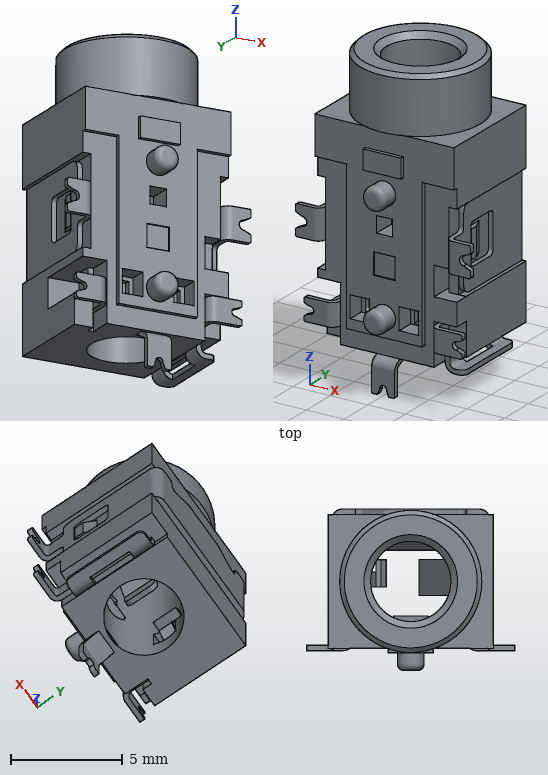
import cadquery as cq


total_height = 15.8
body_width = 7.43
body_bottom = 1.82
body_top = 12.83
body_front = -3.0
body_back = 3.0
flank_front = -2.76
panel_half_width = 2.0
panel_bottom = 2.78
panel_top = 10.78
sleeve_radius = 3.19
sleeve_chamfer = 0.2
bore_radius = 1.8
bore_chamfer = 0.3

rib_half_width = 1.01
rib_height = 1.03
rib_rise = 0.2
peg_radius = 0.6
peg_round = 0.28
peg_end = -4.0
peg_heights = (3.79, 9.8)
sight_width = 0.85
sight_bottom = 7.77
mark_width = 1.14
mark_bottom = 5.69
mark_depth = 0.08
pocket_inner = 0.79
pocket_outer = 1.83
pocket_bottom = 3.3
pocket_top = 4.47
pocket_depth = 0.95
pocket_core_inner = 1.0
pocket_core_outer = 1.63
pocket_core_bottom = 3.38
pocket_core_top = 4.28
pocket_core_depth = 1.26
pocket_core_round = 0.13

sheet = 0.25
foot_front = -3.11
foot_back = foot_front + sheet
prong_round = 0.1
notch_taper = 0.6

shield_bottom = 5.3
shield_top = 9.73
shield_gap = 0.03
shield_middle = (shield_bottom + shield_top) / 2
shield_inner_x = 3.3
shield_outer_x = shield_inner_x + sheet
shield_back = body_back + sheet
shield_corner = 0.49
shield_foot_tip = 4.68
shield_foot_bend = 0.43
shield_plate_front = -1.95
shield_plate_round = 0.46
tab_half_height = 0.8
tab_root_round = 0.24
tab_notch_depth = 0.6
tab_notch_half = 0.41
window_back = 0.5
window_front = -1.36
window_height = 2.2
window_round = 0.25
tooth_ramp_back = -0.28
tooth_ramp_front = -0.87
tooth_front = -1.31
tooth_height = 1.52
edge_notch_outer = 2.48
edge_notch_inner = 1.14
edge_notch_depth = 1.1
edge_notch_outer_round = 0.27
edge_notch_floor_round = 0.2
edge_notch_inner_round = 0.4

slot_x = 2.5
terminal_inner_x = 2.53
terminal_outer_x = terminal_inner_x + sheet
side_foot_tip = 4.22
left_foot_bend = 0.5
right_foot_bend = 0.41
side_foot_bottom = 2.69
side_foot_top = 3.89
side_notch_depth = 0.52
side_notch_half = 0.32
slot_back = -1.5
terminal_root = -1.26
block_front = -1.98
left_block_top = 3.32
left_notch_top = 4.82
left_opening_back = 0.55
left_opening_front = -0.63
right_notch_top = 4.05
right_block_bottom = 2.29
right_gap_bottom = 5.25
right_gap_top = 6.78

tail_back = 2.34
tail_front = -1.9
tail_opening_back = 1.3
tail_opening_front = -0.85
tail_bottom = 1.31
tail_end_x = 3.54
tail_bend = 0.5
tail_end_round = 0.3

bottom_half_width = 0.62
bottom_notch_depth = 0.5
bottom_notch_half = 0.3
bottom_bend_top = 1.55
bottom_bend_under = 1.42
bottom_root_front = -2.29
bottom_root_back = -1.74
bottom_root_z = 1.96
bottom_outer_round = 0.45
bottom_inner_round = 0.13
bottom_prong_round = 0.06

front_contact_half_width = 0.77
front_contact_bottom = 5.69
front_contact_top = 7.58
front_contact_crest = -1.55
front_contact_root = -1.9
back_contact_half_width = 1.26
back_contact_bottom = 7.27
back_contact_top = 9.16
back_contact_crest = 1.39
back_contact_crest_z = 7.93
back_contact_root = 1.9
left_spring_front = -0.25
left_spring_back = 0.43
left_spring_width = 0.35
left_spring_root_z = 3.24
left_crest_back = 0.98
left_crest_outer_x = 1.56
left_crest_inner_x = 1.33
left_crest_z = 4.68
left_crest_tip_x = 1.09
left_crest_tip_z = 4.36
right_spring_front = -0.63
right_spring_back = 1.0
right_spring_top = 9.16
right_spring_knee_z = 4.27
right_spring_bottom = 3.48
right_spring_tip_x = 0.36
right_spring_round = 0.32

half_width = body_width / 2


def box(x_range, y_range, z_range):
    """Box between two limits along each axis, given in either order."""
    low = [min(pair) for pair in (x_range, y_range, z_range)]
    size = [abs(pair[1] - pair[0]) for pair in (x_range, y_range, z_range)]
    return cq.Workplane("XY").box(*size, centered=False).translate(tuple(low))


def prism_x(points, half_length):
    """YZ polygon extruded evenly to both sides of X = 0."""
    return cq.Workplane("YZ").polyline(points).close().extrude(half_length, both=True)


def prism_y(points, back, front):
    """XZ polygon extruded forwards from back to front."""
    plane = cq.Workplane("XZ", origin=(0, back, 0))
    return plane.polyline(points).close().extrude(back - front)


def mirrored_in_x(solid):
    """Copy of a right-hand solid on the left-hand side."""
    return solid.mirror("YZ")


def fork_notch(depth, mouth_half):
    """Tapered, round-ended notch that opens at X = 0 and reaches towards -X."""
    neck = notch_taper * depth
    neck_half = notch_taper * mouth_half
    return (
        cq.Workplane("XZ", origin=(0, foot_back + sheet, 0))
        .moveTo(0, mouth_half)
        .lineTo(-neck, neck_half)
        .threePointArc((-depth, 0), (-neck, -neck_half))
        .lineTo(0, -mouth_half)
        .close()
        .extrude(3 * sheet)
    )


def forked_right(foot, tip_x, middle_z, depth, mouth_half):
    """Cut the fork into a foot that points towards +X and round its prongs."""
    foot = foot.cut(fork_notch(depth, mouth_half).translate((tip_x, 0, middle_z)))
    return foot.faces(">X").edges("|Y").fillet(prong_round)


def housing():
    """Sleeve, block with a raised panel on the front, rib and locating pegs."""
    body = box((-half_width, half_width), (flank_front, body_back), (body_bottom, body_top))
    body = body.union(box((-half_width, half_width), (body_front, 0), (panel_top, body_top)))
    body = body.union(
        box((-panel_half_width, panel_half_width), (body_front, 0), (panel_bottom, panel_top))
    )
    sleeve = cq.Workplane("XY").workplane(offset=body_top).circle(sleeve_radius)
    sleeve = sleeve.extrude(total_height - body_top).faces(">Z").edges().chamfer(sleeve_chamfer)
    body = body.union(sleeve)
    body = body.union(
        box(
            (-rib_half_width, rib_half_width),
            (body_front - rib_rise, 0),
            (panel_top, panel_top + rib_height),
        )
    )
    for height in peg_heights:
        peg = cq.Workplane("XZ").center(0, height).circle(peg_radius).extrude(-peg_end)
        body = body.union(peg.faces("<Y").edges().fillet(peg_round))
    return body


def plug_bore():
    """Through bore with a countersunk mouth."""
    bore = cq.Workplane("XY").circle(bore_radius).extrude(total_height)
    mouth = cq.Workplane("XY").workplane(offset=total_height - bore_chamfer)
    mouth = mouth.circle(bore_radius).workplane(offset=bore_chamfer)
    return bore.union(mouth.circle(bore_radius + bore_chamfer).loft())


def front_openings():
    """Sight window into the bore, shallow square mark and two stepped pockets."""
    sight_half = sight_width / 2
    mark_half = mark_width / 2
    cuts = box(
        (-sight_half, sight_half), (body_front, 0), (sight_bottom, sight_bottom + sight_width)
    )
    cuts = cuts.union(
        box(
            (-mark_half, mark_half),
            (body_front, body_front + mark_depth),
            (mark_bottom, mark_bottom + mark_width),
        )
    )
    pocket = box(
        (pocket_inner, pocket_outer),
        (body_front, body_front + pocket_depth),
        (pocket_bottom, pocket_top),
    )
    core = box(
        (pocket_core_inner, pocket_core_outer),
        (body_front, body_front + pocket_core_depth),
        (pocket_core_bottom, pocket_core_top),
    )
    pocket = pocket.union(core.faces(">X").edges("<Z").fillet(pocket_core_round))
    return cuts.union(pocket).union(mirrored_in_x(pocket))


def shield_recess():
    """Shallow steps in both sides of the housing that take the shield."""
    recess = box(
        (shield_inner_x, half_width),
        (body_front, body_back),
        (shield_bottom - shield_gap, shield_top + shield_gap),
    )
    return recess.union(mirrored_in_x(recess))


def terminal_slot(bottom, top):
    """Right-hand slot, deeper than the cut-out in front of it, that holds a terminal plate."""
    return box((slot_x, terminal_outer_x), (body_front, slot_back), (bottom, top))


def left_cutouts():
    """Front corner notch, terminal slot below it and an opening through to the bore."""
    corner = box((-half_width, -slot_x), (body_front, block_front), (body_bottom, left_notch_top))
    shelf = box(
        (-half_width, -terminal_outer_x),
        (block_front, left_opening_back),
        (left_block_top, left_notch_top),
    )
    opening = box(
        (-half_width, 0),
        (left_opening_front, left_opening_back),
        (left_block_top, left_notch_top),
    )
    slot = mirrored_in_x(terminal_slot(body_bottom, left_notch_top))
    return corner.union(shelf).union(opening).union(slot)


def right_cutouts():
    """Corner notch round the foot, gap under the shield foot and a shortened lower edge."""
    notch = box(
        (slot_x, half_width), (body_front, block_front), (right_block_bottom, right_notch_top)
    )
    gap = box((slot_x, half_width), (body_front, block_front), (right_gap_bottom, right_gap_top))
    lower = box((slot_x, half_width), (body_front, body_back), (body_bottom, right_block_bottom))
    slot = terminal_slot(body_bottom, right_notch_top)
    slot = slot.union(terminal_slot(right_gap_bottom, right_gap_top))
    return notch.union(gap).union(lower).union(slot)


def cut_edge_notch(side):
    """Cut a rounded triangular notch into the upper edge of the back plate."""
    floor = shield_top - edge_notch_depth
    corners = [
        (edge_notch_outer, shield_top, edge_notch_outer_round),
        (edge_notch_outer, floor, edge_notch_floor_round),
        (edge_notch_inner, shield_top, edge_notch_inner_round),
    ]
    outline = [(x, z) for x, z, _ in corners]
    side = side.cut(prism_y(outline, shield_back, body_back))
    plate_middle = (shield_back + body_back) / 2
    for x, z, radius in corners:
        corner = cq.selectors.NearestToPointSelector((x, plate_middle, z))
        side = side.edges("|Y").edges(corner).fillet(radius)
    return side


def shield_half():
    """Right half of the shield: back, side plate, window and forked foot."""
    foot_inner_bend = shield_foot_bend - sheet
    side = (
        cq.Workplane("XY")
        .workplane(offset=shield_bottom)
        .moveTo(0, shield_back)
        .lineTo(shield_outer_x - shield_corner, shield_back)
        .tangentArcPoint((shield_outer_x, shield_back - shield_corner), relative=False)
        .lineTo(shield_outer_x, foot_back + foot_inner_bend)
        .tangentArcPoint((shield_outer_x + foot_inner_bend, foot_back), relative=False)
        .lineTo(shield_foot_tip, foot_back)
        .lineTo(shield_foot_tip, foot_front)
        .lineTo(shield_inner_x + shield_foot_bend, foot_front)
        .tangentArcPoint((shield_inner_x, foot_front + shield_foot_bend), relative=False)
        .lineTo(shield_inner_x, body_back)
        .lineTo(0, body_back)
        .close()
        .extrude(shield_top - shield_bottom)
    )
    tab_top = shield_middle + tab_half_height
    relief = (
        cq.Workplane("YZ")
        .moveTo(foot_front - sheet, tab_top)
        .lineTo(shield_plate_front - tab_root_round, tab_top)
        .tangentArcPoint((tab_root_round, tab_root_round))
        .lineTo(shield_plate_front, shield_top - shield_plate_round)
        .tangentArcPoint((shield_plate_round, shield_plate_round))
        .lineTo(foot_front - sheet, shield_top)
        .close()
        .extrude(2 * shield_foot_tip)
    )
    side = side.cut(relief)
    side = side.cut(relief.mirror("XY", (0, 0, shield_middle)))
    window = box(
        (0, shield_foot_tip),
        (window_front, window_back),
        (shield_middle - window_height / 2, shield_middle + window_height / 2),
    )
    side = side.cut(window.edges("|X").fillet(window_round))
    side = cut_edge_notch(side)
    return forked_right(side, shield_foot_tip, shield_middle, tab_notch_depth, tab_notch_half)


def latch_tooth():
    """Ramped tooth of the housing that stands in the right-hand shield window."""
    return (
        cq.Workplane("XY")
        .workplane(offset=shield_middle - tooth_height / 2)
        .polyline(
            [
                (shield_inner_x - sheet, tooth_ramp_back),
                (shield_inner_x, tooth_ramp_back),
                (shield_outer_x, tooth_ramp_front),
                (shield_outer_x, tooth_front),
                (shield_inner_x - sheet, tooth_front),
            ]
        )
        .close()
        .extrude(tooth_height)
    )


def side_terminal(foot_bend):
    """Right-hand terminal: upright plate that bends out into a forked foot."""
    inner_bend = foot_bend - sheet
    terminal = (
        cq.Workplane("XY")
        .workplane(offset=side_foot_bottom)
        .moveTo(terminal_outer_x, terminal_root)
        .lineTo(terminal_outer_x, foot_back + inner_bend)
        .tangentArcPoint((terminal_outer_x + inner_bend, foot_back), relative=False)
        .lineTo(side_foot_tip, foot_back)
        .lineTo(side_foot_tip, foot_front)
        .lineTo(terminal_inner_x + foot_bend, foot_front)
        .tangentArcPoint((terminal_inner_x, foot_front + foot_bend), relative=False)
        .lineTo(terminal_inner_x, terminal_root)
        .close()
        .extrude(side_foot_top - side_foot_bottom)
    )
    middle = (side_foot_bottom + side_foot_top) / 2
    return forked_right(terminal, side_foot_tip, middle, side_notch_depth, side_notch_half)


def right_tail():
    """Plate that leaves the underside on two legs and bends out under the right side."""
    inner_bend = tail_bend - sheet
    tail = (
        cq.Workplane("XZ", origin=(0, tail_back, 0))
        .moveTo(terminal_inner_x, right_notch_top)
        .lineTo(terminal_inner_x, tail_bottom + tail_bend)
        .tangentArcPoint((terminal_inner_x + tail_bend, tail_bottom), relative=False)
        .lineTo(tail_end_x, tail_bottom)
        .lineTo(tail_end_x, tail_bottom + sheet)
        .lineTo(terminal_outer_x + inner_bend, tail_bottom + sheet)
        .tangentArcPoint((terminal_outer_x, tail_bottom + tail_bend), relative=False)
        .lineTo(terminal_outer_x, right_notch_top)
        .close()
        .extrude(tail_back - tail_front)
    )
    opening = box(
        (terminal_inner_x, terminal_inner_x + tail_bend),
        (tail_opening_front, tail_opening_back),
        (tail_bottom, body_bottom),
    )
    return tail.cut(opening).faces(">X").edges("|Z").fillet(tail_end_round)


def bend_edge(solid, y, z):
    """Edge along X at the given place in YZ."""
    return solid.edges("|X").edges(cq.selectors.NearestToPointSelector((0, y, z)))


def bottom_terminal():
    """Tail that slopes out of the underside and bends down into a fork."""
    terminal = prism_x(
        [
            (foot_front, 0),
            (foot_front, bottom_bend_top),
            (bottom_root_front, bottom_root_z),
            (bottom_root_back, bottom_root_z),
            (foot_back, bottom_bend_under),
            (foot_back, 0),
        ],
        bottom_half_width,
    )
    terminal = bend_edge(terminal, foot_front, bottom_bend_top).fillet(bottom_outer_round)
    terminal = bend_edge(terminal, foot_back, bottom_bend_under).fillet(bottom_inner_round)
    notch = fork_notch(bottom_notch_depth, bottom_notch_half)
    terminal = terminal.cut(notch.rotate((0, 0, 0), (0, 1, 0), 90))
    return terminal.faces("<Z").edges("|Y").fillet(bottom_prong_round)


def bore_contacts():
    """Humps on the front and back of the bore wall."""
    front_middle = (front_contact_bottom + front_contact_top) / 2
    front = prism_x(
        [
            (front_contact_root, front_contact_bottom),
            (front_contact_crest, front_middle),
            (front_contact_root, front_contact_top),
        ],
        front_contact_half_width,
    )
    back = prism_x(
        [
            (back_contact_root, back_contact_bottom),
            (back_contact_crest, back_contact_crest_z),
            (back_contact_root, back_contact_top),
        ],
        back_contact_half_width,
    )
    return front.union(back)


def left_spring():
    """Strip that leans from the left wall into the bore and ends in a wider hooked crest."""
    strip = prism_y(
        [
            (-terminal_outer_x, left_spring_root_z),
            (-left_crest_outer_x, left_crest_z),
            (-left_crest_inner_x, left_crest_z),
            (left_spring_width - terminal_outer_x, left_spring_root_z),
        ],
        left_spring_back,
        left_spring_front,
    )
    crest = prism_y(
        [
            (-left_crest_outer_x, left_crest_z),
            (-left_crest_inner_x, left_crest_z),
            (-left_crest_tip_x, left_crest_tip_z),
            (-left_crest_outer_x, left_crest_tip_z),
        ],
        left_crest_back,
        left_spring_front,
    )
    return strip.union(crest)


def right_spring():
    """Strip that slopes from the right wall down into the bore and ends upright."""
    strip = prism_y(
        [
            (terminal_outer_x, right_spring_top),
            (right_spring_tip_x + sheet, right_spring_knee_z),
            (right_spring_tip_x + sheet, right_spring_bottom),
            (right_spring_tip_x, right_spring_bottom),
            (right_spring_tip_x, right_spring_knee_z),
            (terminal_inner_x, right_spring_top),
        ],
        right_spring_back,
        right_spring_front,
    )
    return strip.faces("<Z").edges("|X").fillet(right_spring_round)


result = housing().cut(plug_bore()).cut(front_openings()).cut(shield_recess())
result = result.cut(left_cutouts()).cut(right_cutouts())
for right_part in (shield_half(), latch_tooth()):
    result = result.union(right_part).union(mirrored_in_x(right_part))
result = result.union(side_terminal(right_foot_bend))
result = result.union(mirrored_in_x(side_terminal(left_foot_bend)))
result = result.union(right_tail()).union(bottom_terminal())
result = result.union(bore_contacts()).union(left_spring()).union(right_spring())